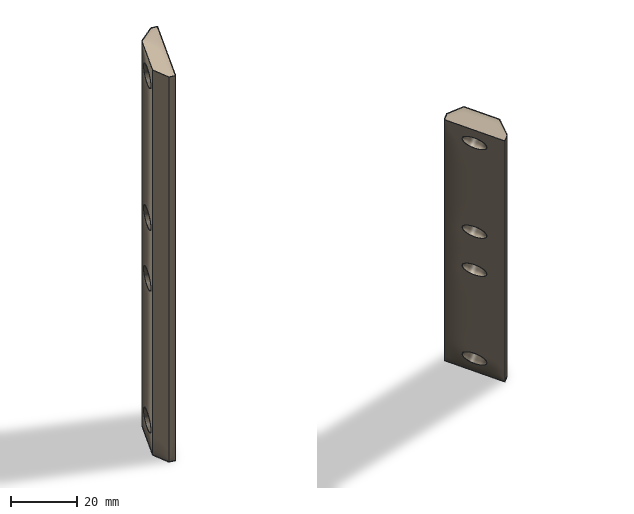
import cadquery as cq

length = 190.0
width = 19.5
thickness = 6.0

side_height = 2.0
bevel = thickness - side_height

hole_diameter = 8.0
inner_hole_offset = 15.0
outer_hole_offset = 85.0

half_width = width / 2
half_front_width = half_width - bevel


def make_bar():
    """Bar along Z, back face on Y = 0 and narrow front face toward -Y."""
    section = [
        (-half_width, 0),
        (half_width, 0),
        (half_width, -side_height),
        (half_front_width, -thickness),
        (-half_front_width, -thickness),
        (-half_width, -side_height),
    ]
    return cq.Workplane("XY").polyline(section).close().extrude(length / 2, both=True)


def make_holes():
    """Cylinders along -Y running through the whole thickness."""
    offsets = [-outer_hole_offset, -inner_hole_offset, inner_hole_offset, outer_hole_offset]
    return (
        cq.Workplane("XZ")
        .pushPoints([(0, z) for z in offsets])
        .circle(hole_diameter / 2)
        .extrude(thickness)
    )


result = make_bar().cut(make_holes())